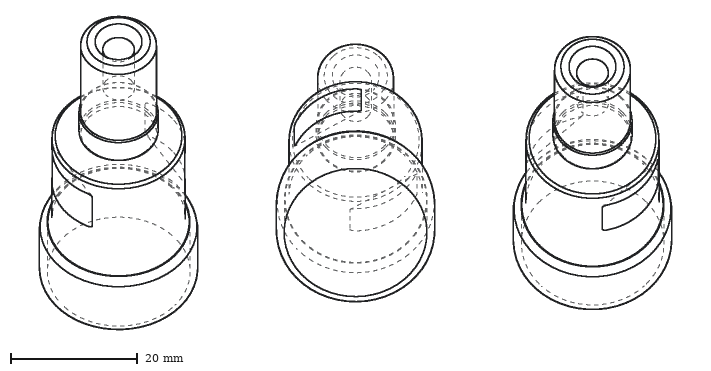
import cadquery as cq
import math

total_height = 56.0

stem_radius = 6.0
stem_tip_radius = 5.0
stem_chamfer_height = 0.9
collar_radius = 6.245
collar_bottom = 34.15
collar_top = 39.0
collar_chamfer = collar_radius - stem_radius

undercut_fillet = 0.5
undercut_depth = 0.15
undercut_outer_radius = 7.2

hole_radius = 2.49
countersink_radius = 3.7
countersink_depth = 1.9
hole_depth = 11.2
drill_half_angle = math.radians(59)

body_radius = 10.5
body_top = 33.05
body_chamfer = 0.5
flare_top = 13.45
flare_end_radius = 11.15

flat_distance = 8.5
flat_bottom = 22.0
flat_top = 29.95
flat_fillet = 0.5

bore_radius = 11.25
cap_radius = 12.515
cap_top = 12.25
rim_edge_height = 12.05
cap_rim_radius = 11.9
cone_radius = 12.4
cone_bottom = 10.85
step_bottom = 10.7
band_radius = 12.5
upper_band_top = 10.1
upper_band_bottom = 9.5
lower_band_top = 1.3
lower_band_bottom = 0.95
cap_foot_round = 0.85


def revolve_profile(profile):
    """Turn a closed (radius, height) outline about the Z axis."""
    return profile.close().revolve(360, (0, 0, 0), (0, 1, 0))


def make_turned_blank():
    """Stem, collar, undercut, body and flare, ending in a plug that fills the cap bore."""
    undercut_floor = body_top - undercut_depth
    undercut_center = (stem_radius + undercut_fillet, undercut_floor + undercut_fillet)
    diagonal = undercut_fillet * math.sqrt(0.5)
    undercut_middle = (undercut_center[0] - diagonal, undercut_center[1] - diagonal)

    flare_width = flare_end_radius - body_radius
    flare_height = flare_top - rim_edge_height
    flare_radius = (flare_width**2 + flare_height**2) / (2 * flare_width)
    flare_angle = math.asin(flare_height / flare_radius)
    flare_center_radius = body_radius + flare_radius
    flare_middle = (
        flare_center_radius - flare_radius * math.cos(flare_angle / 2),
        flare_top - flare_radius * math.sin(flare_angle / 2),
    )

    profile = (
        cq.Workplane("XZ")
        .moveTo(0, 0)
        .lineTo(0, total_height)
        .lineTo(stem_tip_radius, total_height)
        .lineTo(stem_radius, total_height - stem_chamfer_height)
        .lineTo(stem_radius, collar_top)
        .lineTo(collar_radius, collar_top - collar_chamfer)
        .lineTo(collar_radius, collar_bottom + collar_chamfer)
        .lineTo(stem_radius, collar_bottom)
        .lineTo(stem_radius, undercut_center[1])
        .threePointArc(undercut_middle, (undercut_center[0], undercut_floor))
        .lineTo(undercut_outer_radius, body_top)
        .lineTo(body_radius - body_chamfer, body_top)
        .lineTo(body_radius, body_top - body_chamfer)
        .lineTo(body_radius, flare_top)
        .threePointArc(flare_middle, (flare_end_radius, rim_edge_height))
        .lineTo(bore_radius, rim_edge_height)
        .lineTo(bore_radius, 0)
    )
    return revolve_profile(profile)


def make_center_hole():
    """Countersunk blind hole with a drill point, opening at the top of the stem."""
    hole_end = total_height - hole_depth
    profile = (
        cq.Workplane("XZ")
        .moveTo(0, total_height)
        .lineTo(countersink_radius, total_height)
        .lineTo(hole_radius, total_height - countersink_depth)
        .lineTo(hole_radius, hole_end)
        .lineTo(0, hole_end - hole_radius / math.tan(drill_half_angle))
    )
    return revolve_profile(profile)


def make_flat_cutter(side):
    """Block that cuts one wrench flat on the given Y side (-1 or 1), with rounded inner corners."""
    depth = body_radius
    inner_face = "<Y" if side > 0 else ">Y"
    return (
        cq.Workplane("XY")
        .box(2 * body_radius, depth, flat_top - flat_bottom)
        .faces(inner_face)
        .edges("|X")
        .fillet(flat_fillet)
        .translate((0, side * (flat_distance + depth / 2), (flat_top + flat_bottom) / 2))
    )


def make_spindle():
    spindle = make_turned_blank().cut(make_center_hole())
    for side in (-1, 1):
        spindle = spindle.cut(make_flat_cutter(side))
    return spindle


def make_cap():
    """Ring around the foot of the spindle, with a rounded rim and a tapered shoulder."""
    rim_crest_radius = (bore_radius + cap_rim_radius) / 2
    foot_diagonal = cap_foot_round * math.sqrt(0.5)
    foot_center_radius = band_radius - cap_foot_round
    foot_middle = (foot_center_radius + foot_diagonal, cap_foot_round - foot_diagonal)
    profile = (
        cq.Workplane("XZ")
        .moveTo(bore_radius, 0)
        .lineTo(bore_radius, rim_edge_height)
        .threePointArc((rim_crest_radius, cap_top), (cap_rim_radius, rim_edge_height))
        .lineTo(cone_radius, cone_bottom)
        .lineTo(cone_radius, step_bottom)
        .lineTo(band_radius, upper_band_top)
        .lineTo(cap_radius, upper_band_bottom)
        .lineTo(cap_radius, lower_band_top)
        .lineTo(band_radius, lower_band_bottom)
        .lineTo(band_radius, cap_foot_round)
        .threePointArc(foot_middle, (foot_center_radius, 0))
    )
    return revolve_profile(profile)


spindle = make_spindle()
cap = make_cap()
result = cq.Compound.makeCompound([spindle.val(), cap.val()])